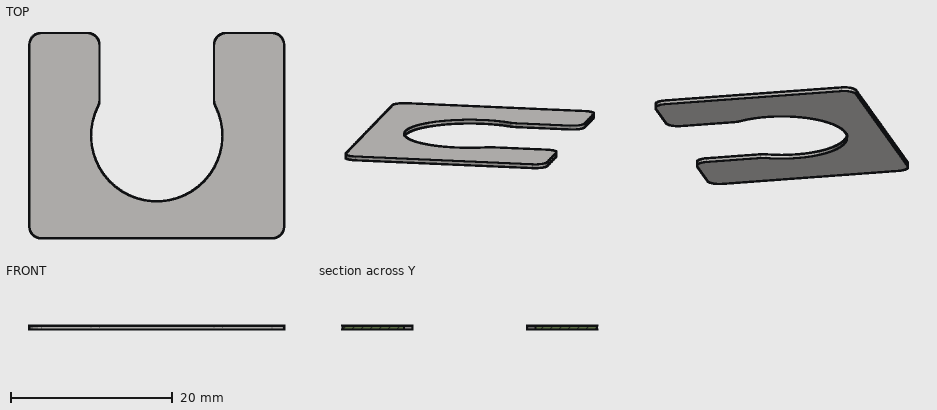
import cadquery as cq

width = 31.5
depth = 25.4
thickness = 0.5
corner_radius = 1.5

hole_diameter = 16.2
slot_width = 14.1
neck_radius = 1.5


def make_plate():
    return cq.Workplane("XY").box(width, depth, thickness)


def make_opening():
    hole = cq.Workplane("XY").circle(hole_diameter / 2).extrude(thickness, both=True)
    slot = (
        cq.Workplane("XY")
        .center(0, depth / 2)
        .rect(slot_width, depth)
        .extrude(thickness, both=True)
    )
    return hole.union(slot)


def round_edges(body):
    """Round the outer corners and slot mouth, then the neck edges."""
    neck_zone = cq.selectors.BoxSelector(
        (-hole_diameter / 2, 0, -thickness),
        (hole_diameter / 2, hole_diameter / 2, thickness),
    )
    body = body.edges("|Z").edges(neck_zone).fillet(neck_radius)
    return body.edges("|Z and (<X or >X or >Y)").fillet(corner_radius)


result = round_edges(make_plate().cut(make_opening()))